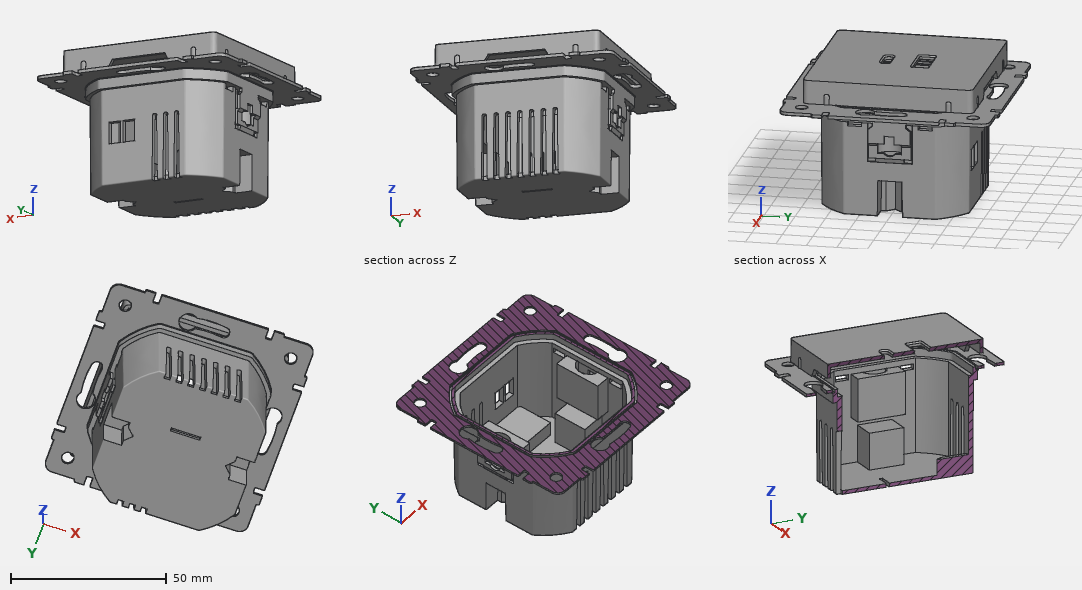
import cadquery as cq
import math

total_height = 45.45
cover_bottom = 37.7
plate_top = 36.4
plate_thickness = 1.05
plate_bottom = plate_top - plate_thickness
lip_thickness = 0.3
flange_top = plate_bottom - lip_thickness
flange_bottom = 31.7
floor_top = 1.4

plate_half = 35.4
corner_half = 34.5
corner_radius = 3.0
corner_start = 23.65
notch_center = 19.2
notch_width = 2.05
notch_depth = 3.25
notch_fillet = 0.35
screw_hole_offset = 28.2
screw_hole_diameter = 4.0
keyhole_radius = 30.15
keyhole_width = 3.75
keyhole_end_angle = 9.3
keyhole_head_angle = 13.6
keyhole_head_radius = 3.05

wall = 2.0
body_half = 24.5
body_taper = 0.4
body_corner_radius = 28.8
body_blend = 1.3
bottom_fillet = 0.4
flange_half = 25.9
flange_corner_radius = 30.2
flange_blend = 2.1
lip_overhang = 0.2
rim_gap = 0.65
rim_thickness = 1.1

slot_pitch = 4.0
slot_count = 7
slot_width_top = 1.5
slot_width_bottom = 1.9
slot_top = 21.8
back_slot_count = 3
back_window_bottom = 13.65
back_window_top = 20.8
back_window_width = 4.25
back_window_centers = (5.45, 10.55)

clip_opening_width = 14.65
clip_opening_bottom = 18.3
latch_center = 11.6
latch_width = 4.6
latch_height = 1.8

clip_thickness = 1.0
clip_neck_half = 5.5
clip_half = 7.0
clip_neck_bottom = 30.65
clip_shoulder_bottom = 29.45
clip_bend_top = 24.9
clip_bend_bottom = 24.0
clip_jog = 0.9
clip_bottom = 19.75
clip_tongue_half = 4.7
clip_cross_half = 4.0
clip_cross_bottom = 21.45
clip_stem_half = 1.6
clip_stem_top = 27.55
clip_hole_radius = 2.3
clip_hole_height = 22.8

seat_front = 23.6
seat_back = 17.4
seat_half_width = 8.5
seat_bottom = 17.0
seat_recess_radius = 4.45
seat_recess_bottom = 20.5

pocket_height = 12.05
pocket_half_top = 4.0
pocket_half_bottom = 4.2
pocket_back = 18.2
groove_half = 2.5
groove_depth = 2.5

block_left = -1.2
block_right = 15.6
block_front = 9.55
block_top = 6.7
block_corner_radius = 4.95
floor_window_length = 9.9
floor_window_width = 1.05
floor_window_center = -6.3

cover_half = 28.05
cover_taper = 1.0
cover_corner_radius = 1.85
cover_wall = 1.4
cover_top_thickness = 1.4
gap_bottom_half = 11.25
gap_top_half = 9.5
gap_top = 40.6
bump_offset = 20.05
bump_radius = 1.7
bump_height = 0.2
bump_dome_center = 40.3
port_chamfer = 0.5
tiny = 0.01
usb_a_size = (12.6, 5.1)
usb_a_center = 6.0
usb_a_radius = 0.35
usb_c_size = (8.5, 2.8)
usb_c_center = -5.95


def box(x_min, x_max, y_min, y_max, z_min, z_max):
    """Axis-aligned block between the given limits."""
    size = (x_max - x_min, y_max - y_min, z_max - z_min)
    return cq.Workplane("XY").box(*size, centered=False).translate((x_min, y_min, z_min))


def both_sides(shape):
    """The shape together with its copy turned half a turn about Z."""
    return shape.union(shape.rotate((0, 0, 0), (0, 0, 1), 180))


def rounded_square(half, radius, blend, z_min, height, taper=0):
    """Prism with four flat sides joined by arcs centred on the Z axis, with blended joints.

    A taper, in degrees, narrows it upward.
    """
    flat = math.sqrt(radius**2 - half**2)
    diagonal = radius / math.sqrt(2)
    profile = (
        cq.Sketch()
        .segment((-flat, -half), (flat, -half))
        .arc((flat, -half), (diagonal, -diagonal), (half, -flat))
        .segment((half, -flat), (half, flat))
        .arc((half, flat), (diagonal, diagonal), (flat, half))
        .segment((flat, half), (-flat, half))
        .arc((-flat, half), (-diagonal, diagonal), (-half, flat))
        .segment((-half, flat), (-half, -flat))
        .arc((-half, -flat), (-diagonal, -diagonal), (-flat, -half))
        .assemble()
    )
    if blend:
        profile = profile.reset().vertices().fillet(blend)
    return cq.Workplane("XY").workplane(offset=z_min).placeSketch(profile).extrude(height, taper=taper)


def inset_square(half, radius, blend, inset, z_min, z_max):
    """Rounded square moved inward (or outward, if negative) by the given amount."""
    return rounded_square(half - inset, radius - inset, blend, z_min, z_max - z_min)


def keyhole_slot():
    """Arc slot across the +Y axis with a round screw-head opening at its -X end."""

    def polar(radius, angle):
        turn = math.radians(angle)
        return radius * math.sin(turn), radius * math.cos(turn)

    inner = keyhole_radius - keyhole_width / 2
    outer = keyhole_radius + keyhole_width / 2
    start = -keyhole_head_angle
    end = keyhole_end_angle
    middle = (start + end) / 2
    cap_angle = end + math.degrees(keyhole_width / 2 / keyhole_radius)
    slot = (
        cq.Workplane("XY")
        .moveTo(*polar(outer, start))
        .threePointArc(polar(outer, middle), polar(outer, end))
        .threePointArc(polar(keyhole_radius, cap_angle), polar(inner, end))
        .threePointArc(polar(inner, middle), polar(inner, start))
        .close()
        .extrude(plate_thickness)
    )
    head = cq.Workplane("XY").center(*polar(keyhole_radius, start)).circle(keyhole_head_radius)
    return slot.union(head.extrude(plate_thickness)).translate((0, 0, plate_bottom))


def make_plate():
    blank = box(-corner_half, corner_half, -corner_half, corner_half, plate_bottom, plate_top)
    blank = blank.edges("|Z").fillet(corner_radius)
    side = box(-corner_start, corner_start, -plate_half, plate_half, plate_bottom, plate_top)
    side = side.edges("|Z").chamfer(notch_fillet)
    plate = blank.union(side).union(side.rotate((0, 0, 0), (0, 0, 1), 90))

    notch_bottom = plate_half - notch_depth
    for quarter in range(4):
        for x in (-notch_center, notch_center):
            notch = box(
                x - notch_width / 2, x + notch_width / 2,
                notch_bottom, plate_half + notch_depth,
                plate_bottom, plate_top,
            )
            notch = notch.edges("|Z and <Y").fillet(notch_fillet)
            plate = plate.cut(notch.rotate((0, 0, 0), (0, 0, 1), 90 * quarter))

    end = notch_center - notch_width / 2
    for x, y in ((end, plate_half), (plate_half, end)):
        for sign_x in (-1, 1):
            for sign_y in (-1, 1):
                corner = (sign_x * x, sign_y * y, plate_top - plate_thickness / 2)
                nearest = cq.selectors.NearestToPointSelector(corner)
                plate = plate.edges("|Z").edges(nearest).fillet(notch_fillet)

    corner_spacing = 2 * screw_hole_offset
    screw_holes = (
        cq.Workplane("XY")
        .workplane(offset=plate_bottom)
        .rect(corner_spacing, corner_spacing, forConstruction=True)
        .vertices()
        .circle(screw_hole_diameter / 2)
        .extrude(plate_thickness)
    )
    plate = plate.cut(screw_holes)

    top_slot = keyhole_slot()
    right_slot = top_slot.mirror("YZ").rotate((0, 0, 0), (0, 0, 1), -90)
    plate = plate.cut(top_slot).cut(top_slot.mirror("XZ")).cut(both_sides(right_slot))

    opening = rounded_square(flange_half, flange_corner_radius, flange_blend, plate_bottom, plate_thickness)
    return plate.cut(opening)


def housing_body():
    """Drafted, rounded-square block below the flange."""
    body = rounded_square(body_half, body_corner_radius, body_blend, 0, flange_bottom, body_taper)
    body = body.rotate((0, 0, 0), (1, 0, 0), 180).translate((0, 0, flange_bottom))
    return body.faces("<Z").edges().fillet(bottom_fillet)


def housing_flange():
    size = (flange_half, flange_corner_radius, flange_blend)
    flange = inset_square(*size, 0, flange_bottom, flange_top)
    lip = inset_square(*size, -lip_overhang, flange_top, plate_bottom)
    rim = inset_square(*size, rim_gap, plate_bottom, plate_top)
    return flange.union(lip).union(rim)


def housing_cavity():
    lower = inset_square(body_half, body_corner_radius, 0, wall, floor_top, plate_top)
    upper = inset_square(
        flange_half, flange_corner_radius, flange_blend,
        rim_gap + rim_thickness,
        flange_bottom + wall, plate_top,
    )
    return lower.union(upper)


def vent_slots(first, count, y_min, y_max):
    """Round-topped slots that widen toward the floor, cut through the wall between two Y places."""
    half_top = slot_width_top / 2
    shoulder = slot_top - half_top
    slots = cq.Workplane("XY")
    for index in range(first, first + count):
        x = (index - (slot_count - 1) / 2) * slot_pitch
        slot = (
            cq.Workplane("XZ", origin=(x, y_max, 0))
            .moveTo(-slot_width_bottom / 2, 0)
            .lineTo(-half_top, shoulder)
            .threePointArc((0, slot_top), (half_top, shoulder))
            .lineTo(slot_width_bottom / 2, 0)
            .close()
            .extrude(y_max - y_min)
        )
        slots = slots.add(slot)
    return slots.combine()


def back_windows():
    """Two rectangular openings in the back wall."""
    windows = cq.Workplane("XY")
    for x in back_window_centers:
        window = box(
            x - back_window_width / 2, x + back_window_width / 2,
            body_half - 2 * wall, body_half + wall,
            back_window_bottom, back_window_top,
        )
        windows = windows.add(window)
    return windows.combine()


def side_openings():
    """Clip opening and two latch windows through the -X wall."""
    x_min = -body_half - wall / 2
    x_max = -body_half + 2 * wall
    clip_half_opening = clip_opening_width / 2
    openings = box(x_min, x_max, -clip_half_opening, clip_half_opening, clip_opening_bottom, flange_bottom)
    for y in (-latch_center, latch_center):
        window = box(
            x_min, x_max,
            y - latch_width / 2, y + latch_width / 2,
            flange_bottom - latch_height, flange_bottom,
        )
        openings = openings.union(window)
    return openings


def clip_seat():
    """Block behind the -X clip with an upright half-round recess."""
    seat = box(-seat_front, -seat_back, -seat_half_width, seat_half_width, seat_bottom, flange_bottom)
    recess = (
        cq.Workplane("XY", origin=(-seat_front, 0, seat_recess_bottom))
        .circle(seat_recess_radius)
        .extrude(flange_bottom - seat_recess_bottom)
    )
    return seat.cut(recess)


def spring_clip():
    """Clip hanging from the -X side of the flange: outline across Y, bent profile across X."""
    outer = -flange_half
    inner = outer + clip_thickness
    profile = (
        cq.Workplane("XZ", origin=(0, clip_half, 0))
        .polyline([
            (outer, flange_bottom),
            (outer, clip_bend_top),
            (outer + clip_jog, clip_bend_bottom),
            (outer + clip_jog, clip_bottom),
            (-body_half, clip_opening_bottom),
            (inner + clip_jog, clip_opening_bottom),
            (inner + clip_jog, clip_bend_top),
            (inner, clip_bend_top),
            (inner, flange_bottom),
        ])
        .close()
        .extrude(2 * clip_half)
    )
    outline_points = [
        (clip_neck_half, flange_bottom),
        (clip_neck_half, clip_neck_bottom),
        (clip_half, clip_shoulder_bottom),
        (clip_half, clip_bottom),
        (clip_tongue_half, clip_bottom),
        (clip_tongue_half, clip_opening_bottom),
    ]
    mirrored_points = [(-y, z) for y, z in reversed(outline_points)]
    outline = (
        cq.Workplane("YZ", origin=(outer, 0, 0))
        .polyline(outline_points + mirrored_points)
        .close()
        .extrude(2 * clip_thickness + clip_jog)
    )
    x_max = outer + 2 * clip_thickness + clip_jog
    stem = box(outer, x_max, -clip_stem_half, clip_stem_half, clip_hole_height, clip_stem_top)
    cross = box(outer, x_max, -clip_cross_half, clip_cross_half, clip_cross_bottom, clip_bend_top)
    hole = (
        cq.Workplane("YZ", origin=(outer, 0, clip_hole_height))
        .circle(clip_hole_radius)
        .extrude(x_max - outer)
    )
    hole = hole.intersect(box(outer, x_max, -clip_cross_half, clip_cross_half, 0, clip_bend_top))
    return profile.intersect(outline).cut(stem).cut(cross).cut(hole)


def pocket_casing():
    """Solid block inside the -X wall that surrounds the cable pocket."""
    half = pocket_half_bottom + wall
    back = -pocket_back + groove_depth + wall
    return box(-body_half + wall / 2, back, -half, half, floor_top / 2, pocket_height + wall)


def cable_pocket():
    """Pocket open at the -X wall and the floor, with an upright V groove in its back."""
    x_min = -body_half - wall
    pocket = (
        cq.Workplane("YZ", origin=(x_min, 0, 0))
        .polyline([
            (-pocket_half_bottom, 0),
            (-pocket_half_top, pocket_height),
            (pocket_half_top, pocket_height),
            (pocket_half_bottom, 0),
        ])
        .close()
        .extrude(-pocket_back - x_min)
    )
    groove = (
        cq.Workplane("XY")
        .polyline([
            (-pocket_back, -groove_half),
            (-pocket_back + groove_depth, 0),
            (-pocket_back, groove_half),
        ])
        .close()
        .extrude(pocket_height)
    )
    return pocket.union(groove)


def inner_block():
    """Low block on the floor against the back wall, with a rounded front-left corner."""
    block = box(block_left, block_right, block_front, body_half - wall / 2, floor_top / 2, block_top)
    return block.edges("|Z and <X and <Y").fillet(block_corner_radius)


def floor_window():
    half_length = floor_window_length / 2
    half_width = floor_window_width / 2
    return box(
        -half_length, half_length,
        floor_window_center - half_width, floor_window_center + half_width,
        0, floor_top,
    )


def make_housing():
    housing = housing_body().union(housing_flange()).cut(housing_cavity())
    housing = housing.union(inner_block())
    housing = housing.union(both_sides(pocket_casing())).cut(both_sides(cable_pocket()))
    housing = housing.cut(both_sides(side_openings()))
    housing = housing.union(both_sides(clip_seat())).union(both_sides(spring_clip()))
    housing = housing.cut(vent_slots(0, slot_count, -body_half - wall, -body_half + wall))
    housing = housing.cut(vent_slots(0, back_slot_count, body_half - wall, body_half + wall))
    return housing.cut(back_windows()).cut(floor_window())


def side_gap():
    """Trapezoid cut through the lower edge of the cover along Y."""
    return (
        cq.Workplane("XZ")
        .polyline([
            (-gap_bottom_half, cover_bottom),
            (-gap_top_half, gap_top),
            (gap_top_half, gap_top),
            (gap_bottom_half, cover_bottom),
        ])
        .close()
        .extrude(cover_half + cover_wall, both=True)
    )


def side_bump(x):
    """Shallow upright bump with a domed top on the -Y side of the cover."""
    axis_y = -cover_half - bump_height + bump_radius
    post = (
        cq.Workplane("XY", origin=(x, axis_y, cover_bottom))
        .circle(bump_radius)
        .extrude(bump_dome_center - cover_bottom)
    )
    dome = cq.Workplane("XY", origin=(x, axis_y, bump_dome_center)).sphere(bump_radius)
    outside = box(
        x - bump_radius, x + bump_radius,
        -cover_half - bump_radius, -cover_half + cover_wall / 2,
        cover_bottom, total_height,
    )
    return post.union(dome).intersect(outside)


def port(size, y, radius):
    """Rounded rectangular opening through the cover top with a chamfered mouth."""
    thickness = cover_top_thickness
    bottom = total_height - thickness
    opening = cq.Workplane("XY", origin=(0, y, bottom)).rect(*size).extrude(thickness)
    opening = opening.edges("|Z").fillet(radius)
    wide_size = [length + 2 * port_chamfer for length in size]
    mouth_bottom = total_height - port_chamfer
    mouth = cq.Workplane("XY", origin=(0, y, mouth_bottom)).rect(*wide_size).extrude(port_chamfer)
    mouth = mouth.edges("|Z").fillet(radius + port_chamfer)
    mouth = mouth.faces("<Z").edges().chamfer(port_chamfer - tiny, port_chamfer - tiny)
    return opening.union(mouth)


def make_cover():
    outline = cq.Sketch().rect(2 * cover_half, 2 * cover_half).vertices().fillet(cover_corner_radius)
    cover = (
        cq.Workplane("XY", origin=(0, 0, cover_bottom))
        .placeSketch(outline)
        .extrude(total_height - cover_bottom, taper=cover_taper)
    )
    inner_half = cover_half - cover_wall
    hollow = box(
        -inner_half, inner_half, -inner_half, inner_half, cover_bottom, total_height - cover_top_thickness
    )
    for quarter in range(4):
        for x in (-bump_offset, bump_offset):
            cover = cover.union(side_bump(x).rotate((0, 0, 0), (0, 0, 1), 90 * quarter))
    cover = cover.cut(hollow).cut(side_gap())
    cover = cover.cut(port(usb_a_size, usb_a_center, usb_a_radius))
    return cover.cut(port(usb_c_size, usb_c_center, usb_c_size[1] / 2 - tiny))


housing = make_housing()
plate = make_plate()
cover = make_cover()
result = cq.Compound.makeCompound([housing.solids().val(), plate.solids().val(), cover.solids().val()])